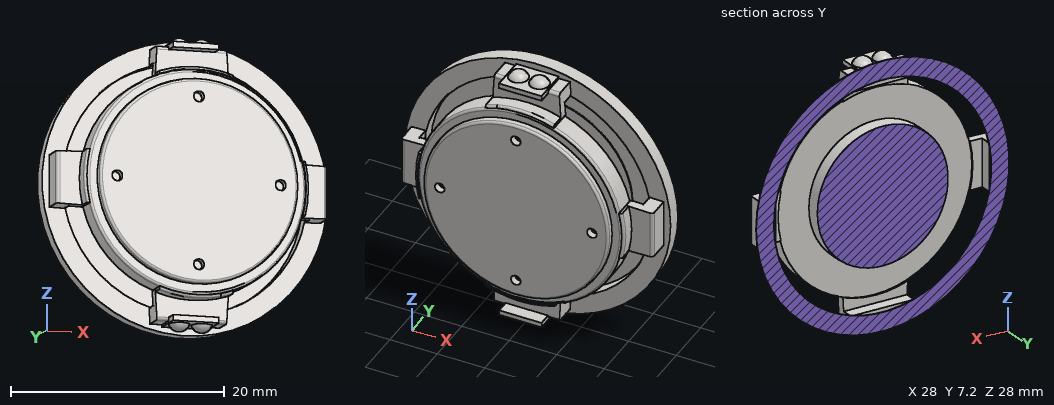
import cadquery as cq
import math


rim_front = 0.78
arm_front = 2.27
body_back = 3.05
step_back = 3.22
flange_front = 4.48
recess_floor = 5.9
flange_back = 6.02
inner_recess_floor = flange_back
dome_back = 7.2

front_disc_radius = 9.75
body_radius = 10.75
neck_radius = 7.25
flange_radius = 14.0
edge_round = 0.25

dome_diameter = 24.5
dome_radius = dome_diameter / 2
dome_wall = 0.25
dome_round = 1.15
recess_radius = dome_radius - dome_wall
inner_recess_diameter = 18.5
inner_recess_radius = inner_recess_diameter / 2

hole_diameter = 1.0
hole_circle_radius = 8.0
hole_count = 4

arm_round = 0.3
lip_thickness = 0.28
lip_radius = body_radius + lip_thickness
side_arm_reach = 13.27
side_arm_thickness = 1.48
side_arm_outer_width = 4.98
side_arm_root_width = 5.12
end_arm_reach = 13.08
end_arm_thickness = 1.5
end_arm_outer_width = 6.83
end_arm_root_width = 7.2

plate_width = 4.48
plate_front = 0.92
plate_top = 13.3
plate_thickness = 0.53
bump_diameter = 2.0
bump_spacing = 2.2
bump_depth = 2.72
bump_height = flange_radius - plate_top


def disc(radius, start, end):
    """Solid cylinder about the Y axis between two depths."""
    return cq.Workplane("XZ", origin=(0, start, 0)).circle(radius).extrude(start - end)


def rounded_disc(radius, start, end, rounding, rounded_side):
    """Cylinder with one rim rounded, on the '<Y' or '>Y' side."""
    return disc(radius, start, end).faces(rounded_side).edges().fillet(rounding)


def make_body():
    body = rounded_disc(body_radius, rim_front, body_back, edge_round, "<Y")
    body = body.union(rounded_disc(front_disc_radius, 0, body_back, edge_round, "<Y"))
    return body.union(disc(neck_radius, body_back, inner_recess_floor))


def make_flange_and_dome():
    flange = disc(flange_radius, flange_front, flange_back)
    dome = rounded_disc(dome_radius, flange_front, dome_back, dome_round, ">Y")
    recess = disc(recess_radius, flange_front, recess_floor)
    inner_recess = disc(inner_recess_radius, flange_front, inner_recess_floor)
    return flange.union(dome).cut(recess).cut(inner_recess)


def make_arm(reach, thickness, outer_width, root_width):
    """Stepped arm pointing toward +Z, with a curved lip around the body's front rim."""
    profile = [
        (arm_front, 0),
        (arm_front, reach),
        (flange_front, reach),
        (flange_front, reach - thickness),
        (step_back, reach - thickness),
        (step_back, 0),
    ]
    arm = cq.Workplane("YZ").polyline(profile).close().extrude(root_width / 2, both=True)
    arm = arm.edges("|X and >Z and <Y").fillet(arm_round)

    root_height = math.sqrt(body_radius**2 - (root_width / 2) ** 2)
    taper_outline = [
        (-root_width / 2, 0),
        (-root_width / 2, root_height),
        (-outer_width / 2, reach),
        (outer_width / 2, reach),
        (root_width / 2, root_height),
        (root_width / 2, 0),
    ]
    taper = cq.Workplane("XZ").polyline(taper_outline).close().extrude(-flange_front)

    lip_sector = cq.Workplane("XY").rect(root_width, 2 * flange_front).extrude(lip_radius)
    lip = rounded_disc(lip_radius, rim_front, arm_front, edge_round, "<Y").intersect(lip_sector)
    return arm.intersect(taper).union(lip).cut(disc(body_radius, 0, flange_front))


def make_terminal():
    """Terminal plate facing +Z with a pair of spherical-cap bumps."""
    plate = cq.Workplane("XY").box(
        plate_width,
        flange_front - plate_front,
        plate_thickness,
        centered=(True, False, False),
    )
    plate = plate.translate((0, plate_front, plate_top - plate_thickness))
    bump_radius = bump_diameter / 2
    sphere_radius = (bump_radius**2 + bump_height**2) / (2 * bump_height)
    above_plate = cq.Workplane("XY", origin=(0, 0, plate_top)).circle(flange_radius).extrude(bump_height)
    for side in (-1, 1):
        center = (side * bump_spacing / 2, bump_depth, flange_radius - sphere_radius)
        bump = cq.Workplane("XY").sphere(sphere_radius).translate(center)
        plate = plate.union(bump.intersect(above_plate))
    return plate


def turned(shape, angle):
    """Copy of a shape turned about the Y axis by an angle in degrees."""
    return shape.rotate((0, 0, 0), (0, 1, 0), angle)


def make_holes():
    return (
        cq.Workplane("XZ")
        .polarArray(hole_circle_radius, 0, 360, hole_count)
        .circle(hole_diameter / 2)
        .extrude(-rim_front)
    )


end_arm = make_arm(end_arm_reach, end_arm_thickness, end_arm_outer_width, end_arm_root_width)
side_arm = make_arm(side_arm_reach, side_arm_thickness, side_arm_outer_width, side_arm_root_width)
end_arm_with_terminal = end_arm.union(make_terminal())

result = make_body().union(make_flange_and_dome())
for end_angle in (0, 180):
    result = result.union(turned(end_arm_with_terminal, end_angle))
for side_angle in (90, -90):
    result = result.union(turned(side_arm, side_angle))
result = result.cut(make_holes())